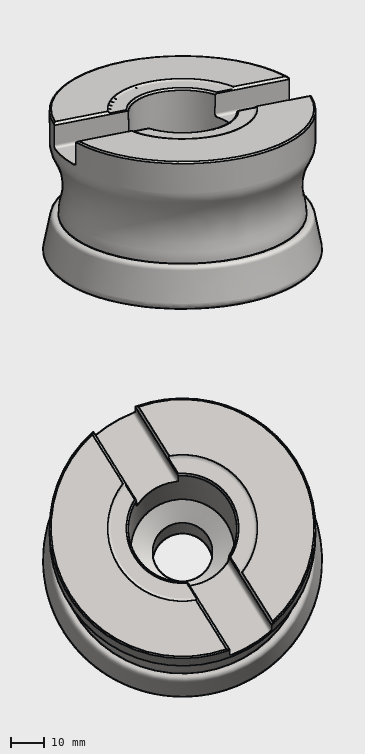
import cadquery as cq
import math

TOTAL_HEIGHT = 50.0
FOOT_HEIGHT = 15.6

FOOT_CORNER_RADIUS = 42.32
FOOT_FLARE_ANGLE = 11.5
FOOT_BOTTOM_FLAT_RADIUS = 30.5
FOOT_BOTTOM_ANGLE = 11.5
FOOT_TOP_FILLET = 1.5
FOOT_BOTTOM_FILLET = 2.0

HEAD_RADIUS = 40.0
HEAD_CHAMFER = 0.5
WAIST_RADIUS = 36.1
WAIST_HEIGHT = 25.0
WAIST_ARC = 22.0
HEAD_ARC = 7.5
NECK_RADIUS = 37.35
NECK_ARC = 15.0

HOLE_RADIUS = 9.0
SEAT_RADIUS = 15.55
SEAT_ANGLE = 25.0
WELL_RADIUS = 16.3
WELL_CHAMFER = 0.6

RECESS_RADIUS = 22.5
RECESS_DEPTH = 0.5
RECESS_EDGE_ARC = 1.2

SLOT_WIDTH = 14.7
SLOT_DEPTH = 8.2
SLOT_FLOOR_FILLET = 1.0
SLOT_EDGE_CHAMFER = 0.8


def tan_deg(angle):
    return math.tan(math.radians(angle))


def point_on_arc(center, radius, angle):
    """Point at an angle, in radians, on a circle in the radius-height plane."""
    return (center[0] + radius * math.cos(angle), center[1] + radius * math.sin(angle))


def make_foot():
    corner_height = (FOOT_CORNER_RADIUS - FOOT_BOTTOM_FLAT_RADIUS) * tan_deg(FOOT_BOTTOM_ANGLE)
    top_radius = FOOT_CORNER_RADIUS - (FOOT_HEIGHT - corner_height) * tan_deg(FOOT_FLARE_ANGLE)
    outline = [
        (HOLE_RADIUS, 0),
        (FOOT_BOTTOM_FLAT_RADIUS, 0),
        (FOOT_CORNER_RADIUS, corner_height),
        (top_radius, FOOT_HEIGHT),
        (HOLE_RADIUS, FOOT_HEIGHT),
    ]
    body = cq.Workplane("XZ").polyline(outline).close().revolve(360, (0, 0), (0, 1))

    largest_circle = cq.selectors.RadiusNthSelector(-1)
    body = body.edges(largest_circle).fillet(FOOT_BOTTOM_FILLET)
    return body.faces(">Z").edges(largest_circle).fillet(FOOT_TOP_FILLET)


def make_spool_blank():
    waist_center = (WAIST_RADIUS + WAIST_ARC, WAIST_HEIGHT)
    head_arc_angle = math.acos((waist_center[0] - HEAD_RADIUS + HEAD_ARC) / (WAIST_ARC + HEAD_ARC))
    neck_arc_angle = math.acos((waist_center[0] - NECK_RADIUS + NECK_ARC) / (WAIST_ARC + NECK_ARC))
    head_arc_center = (
        HEAD_RADIUS - HEAD_ARC,
        WAIST_HEIGHT + (WAIST_ARC + HEAD_ARC) * math.sin(head_arc_angle),
    )
    neck_arc_center = (
        NECK_RADIUS - NECK_ARC,
        WAIST_HEIGHT - (WAIST_ARC + NECK_ARC) * math.sin(neck_arc_angle),
    )
    return (
        cq.Workplane("XZ")
        .moveTo(0, FOOT_HEIGHT)
        .lineTo(NECK_RADIUS, FOOT_HEIGHT)
        .lineTo(NECK_RADIUS, neck_arc_center[1])
        .threePointArc(
            point_on_arc(neck_arc_center, NECK_ARC, neck_arc_angle / 2),
            point_on_arc(neck_arc_center, NECK_ARC, neck_arc_angle),
        )
        .threePointArc(
            (WAIST_RADIUS, WAIST_HEIGHT),
            point_on_arc(head_arc_center, HEAD_ARC, -head_arc_angle),
        )
        .threePointArc(
            point_on_arc(head_arc_center, HEAD_ARC, -head_arc_angle / 2),
            (HEAD_RADIUS, head_arc_center[1]),
        )
        .lineTo(HEAD_RADIUS, TOTAL_HEIGHT - HEAD_CHAMFER)
        .lineTo(HEAD_RADIUS - HEAD_CHAMFER, TOTAL_HEIGHT)
        .lineTo(0, TOTAL_HEIGHT)
        .close()
        .revolve(360, (0, 0), (0, 1))
    )


def make_bore_cutter():
    recess_floor = TOTAL_HEIGHT - RECESS_DEPTH
    edge_center_height = recess_floor + RECESS_EDGE_ARC
    edge_angle = math.acos((RECESS_EDGE_ARC - RECESS_DEPTH) / RECESS_EDGE_ARC)
    floor_radius = RECESS_RADIUS - RECESS_EDGE_ARC * math.sin(edge_angle)
    edge_middle = point_on_arc(
        (floor_radius, edge_center_height), RECESS_EDGE_ARC, (edge_angle - math.pi) / 2
    )
    seat_top = FOOT_HEIGHT + (SEAT_RADIUS - HOLE_RADIUS) * tan_deg(SEAT_ANGLE)
    return (
        cq.Workplane("XZ")
        .moveTo(0, FOOT_HEIGHT)
        .lineTo(HOLE_RADIUS, FOOT_HEIGHT)
        .lineTo(SEAT_RADIUS, seat_top)
        .lineTo(WELL_RADIUS, recess_floor - WELL_CHAMFER)
        .lineTo(WELL_RADIUS + WELL_CHAMFER, recess_floor)
        .lineTo(floor_radius, recess_floor)
        .threePointArc(edge_middle, (RECESS_RADIUS, TOTAL_HEIGHT))
        .lineTo(0, TOTAL_HEIGHT)
        .close()
        .revolve(360, (0, 0), (0, 1))
    )


def make_slot_cutter():
    length = 2 * HEAD_RADIUS
    half_width = SLOT_WIDTH / 2
    chamfer_bottom = TOTAL_HEIGHT - SLOT_EDGE_CHAMFER
    channel = (
        cq.Workplane("XY", origin=(0, 0, TOTAL_HEIGHT))
        .rect(SLOT_WIDTH, length)
        .extrude(-SLOT_DEPTH)
        .edges("|Y and <Z")
        .fillet(SLOT_FLOOR_FILLET)
    )
    edge_bevel = (
        cq.Workplane("XZ")
        .moveTo(-half_width, chamfer_bottom)
        .lineTo(half_width, chamfer_bottom)
        .lineTo(half_width + SLOT_EDGE_CHAMFER, TOTAL_HEIGHT)
        .lineTo(-half_width - SLOT_EDGE_CHAMFER, TOTAL_HEIGHT)
        .close()
        .extrude(length / 2, both=True)
    )
    return channel.union(edge_bevel)


foot = make_foot()
spool = make_spool_blank().cut(make_bore_cutter()).cut(make_slot_cutter())

result = cq.Compound.makeCompound([foot.val(), spool.val()])